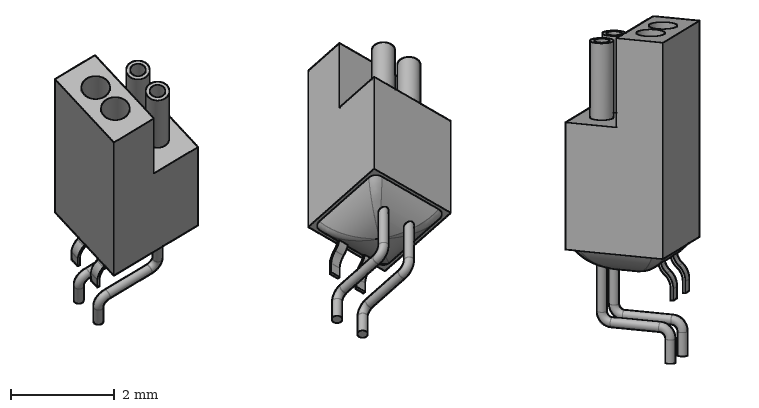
import math
import cadquery as cq

block_width = 1.91
block_depth = 2.03
total_height = 6.53
block_bottom = 2.22
step_height = 4.755
tower_depth = 0.965
pitch = 0.635

dome_height = 0.515
dome_width = 1.76
dome_depth = 1.89
dome_corner_radius = 0.215

socket_diameter = 0.555
socket_y = 0.51

tube_outer_diameter = 0.46
tube_bore_diameter = 0.3
tube_top = 6.28
tube_y = 1.53
drill_tip_angle = 118.0

wire_diameter = 0.2
wire_bend_radius = 0.21
wire_shelf_height = 0.69

strip_width = 0.21
strip_thickness = 0.06
strip_bottom = 1.27
strip_bend_start = 1.515
strip_bend_radius = 0.35
strip_bend_angle = 51.0


def make_block():
    """L-shaped body with a tall tower at the front and a low step behind it."""
    return (
        cq.Workplane("YZ")
        .moveTo(0, block_bottom)
        .lineTo(block_depth, block_bottom)
        .lineTo(block_depth, step_height)
        .lineTo(tower_depth, step_height)
        .lineTo(tower_depth, total_height)
        .lineTo(0, total_height)
        .close()
        .extrude(block_width / 2, both=True)
    )


def make_vault(plane, center, span, length):
    """Circular-segment prism hanging below the block."""
    return (
        cq.Workplane(plane)
        .moveTo(center - span / 2, block_bottom)
        .threePointArc((center, block_bottom - dome_height), (center + span / 2, block_bottom))
        .close()
        .extrude(length, both=True)
    )


def make_dome():
    """Two crossed vaults intersected, with their four ridges rounded."""
    across = make_vault("XZ", 0, dome_width, block_depth)
    along = make_vault("YZ", block_depth / 2, dome_depth, block_width)
    ridges = "not(|X or |Y)"
    return across.intersect(along).edges(ridges).fillet(dome_corner_radius)


def make_socket(x):
    return (
        cq.Workplane("XY", origin=(x, socket_y, step_height))
        .circle(socket_diameter / 2)
        .extrude(total_height - step_height)
    )


def make_tube(x):
    return (
        cq.Workplane("XY", origin=(x, tube_y, step_height))
        .circle(tube_outer_diameter / 2)
        .extrude(tube_top - step_height)
    )


def make_bore(x):
    """Drilled hole ending in a cone whose rim is level with the step."""
    radius = tube_bore_diameter / 2
    tip_depth = radius / math.tan(math.radians(drill_tip_angle / 2))
    return (
        cq.Workplane("XZ", origin=(x, tube_y, 0))
        .moveTo(0, tube_top)
        .lineTo(radius, tube_top)
        .lineTo(radius, step_height)
        .lineTo(0, step_height - tip_depth)
        .close()
        .revolve(360, (0, 0), (0, 1))
    )


def make_wire(x):
    """Round pin going down, forward along a shelf, then down to its tip."""
    r = wire_bend_radius
    s = r * math.sqrt(0.5)
    tip_y = wire_diameter / 2
    z = wire_shelf_height
    path = (
        cq.Workplane("YZ", origin=(x, 0, 0))
        .moveTo(tube_y, block_bottom)
        .lineTo(tube_y, z + r)
        .threePointArc((tube_y - r + s, z + r - s), (tube_y - r, z))
        .lineTo(tip_y + r, z)
        .threePointArc((tip_y + r - s, z - r + s), (tip_y, z - r))
        .lineTo(tip_y, 0)
    )
    return (
        cq.Workplane("XY", origin=(x, tube_y, block_bottom))
        .circle(wire_diameter / 2)
        .sweep(path)
    )


def make_strip(x):
    """Flat lead: upright inside the dome, S-bend forward, upright at the tip."""
    r = strip_bend_radius
    angle = math.radians(strip_bend_angle)
    y0 = strip_thickness / 2
    z0 = strip_bend_start
    rise = r * math.sin(angle)
    shift = r * (1 - math.cos(angle))
    mid_rise = r * math.sin(angle / 2)
    mid_shift = r * (1 - math.cos(angle / 2))
    top_y = y0 + 2 * shift
    top_z = z0 + 2 * rise
    path = (
        cq.Workplane("YZ", origin=(x, 0, 0))
        .moveTo(y0, strip_bottom)
        .lineTo(y0, z0)
        .threePointArc((y0 + mid_shift, z0 + mid_rise), (y0 + shift, z0 + rise))
        .threePointArc((top_y - mid_shift, top_z - mid_rise), (top_y, top_z))
        .lineTo(top_y, block_bottom)
    )
    return (
        cq.Workplane("XY", origin=(x, y0, strip_bottom))
        .rect(strip_width, strip_thickness)
        .sweep(path)
    )


result = make_block().union(make_dome())
for x in (-pitch / 2, pitch / 2):
    result = result.cut(make_socket(x))
    result = result.union(make_tube(x)).cut(make_bore(x))
    result = result.union(make_wire(x)).union(make_strip(x))